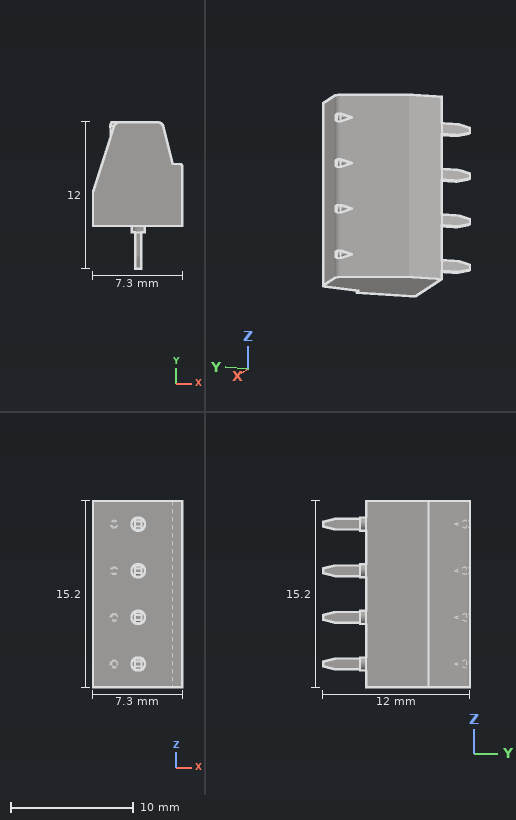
import cadquery as cq
import math

width = 7.3
depth = 8.5
pole_count = 4
pitch = 3.81
height = pole_count * pitch

front_wall_depth = 2.8
slope_top_x = 1.83
back_edge_x = 5.67
step_depth = 5.1
step_width = 0.78
back_radius = 0.5
step_radius = 0.2

pin_x = 3.7
pin_length = 3.5
pin_thickness = 0.5
pin_width = 0.9
tip_width = 0.4
tip_length = 1.0
collar_diameter = 1.1
collar_length = 0.5

mark_tip_y = 7.25
mark_radius = 0.32
mark_cone_length = 0.93
mark_barrel_length = 0.15

slope_depth = depth - front_wall_depth
slope_angle = math.degrees(math.atan2(slope_top_x, slope_depth))
mark_tip_x = slope_top_x * (mark_tip_y - front_wall_depth) / slope_depth


def make_housing():
    outline = [
        (0, 0),
        (width, 0),
        (width, step_depth),
        (width - step_width, step_depth),
        (back_edge_x, depth),
        (slope_top_x, depth),
        (0, front_wall_depth),
    ]
    body = cq.Workplane("XY").polyline(outline).close().extrude(height)
    body = body.edges("|Z").edges(">Y").fillet(back_radius)
    step_corner = cq.selectors.NearestToPointSelector((width, step_depth, height / 2))
    return body.edges("|Z").edges(step_corner).fillet(step_radius)


def make_pin(z):
    """Flat pin with a tapered tip and a round collar at its root."""
    half_width = pin_width / 2
    half_tip = tip_width / 2
    taper_start = tip_length - pin_length
    blade_outline = [
        (0, z - half_width),
        (taper_start, z - half_width),
        (-pin_length, z - half_tip),
        (-pin_length, z + half_tip),
        (taper_start, z + half_width),
        (0, z + half_width),
    ]
    blade = (
        cq.Workplane("YZ", origin=(pin_x, 0, 0))
        .polyline(blade_outline)
        .close()
        .extrude(pin_thickness / 2, both=True)
    )
    collar = (
        cq.Workplane("XZ", origin=(pin_x, 0, z))
        .circle(collar_diameter / 2)
        .extrude(collar_length)
    )
    return blade.union(collar)


def make_mark(z):
    """Cone, short barrel and round end about an axis lying in the -X slope."""
    barrel_end = mark_cone_length + mark_barrel_length
    arc_offset = mark_radius * math.sqrt(0.5)
    teardrop = (
        cq.Workplane("XY")
        .lineTo(mark_radius, mark_cone_length)
        .lineTo(mark_radius, barrel_end)
        .threePointArc((arc_offset, barrel_end + arc_offset), (0, barrel_end + mark_radius))
        .close()
        .revolve(360, (0, 0, 0), (0, 1, 0))
        .rotate((0, 0, 0), (0, 0, 1), -slope_angle)
        .translate((mark_tip_x, mark_tip_y, z))
    )
    space_in_front_of_back = cq.Workplane("XY").box(width, depth, height, centered=False)
    return teardrop.intersect(space_in_front_of_back)


result = make_housing()
for pole in range(pole_count):
    pole_z = (pole + 0.5) * pitch
    result = result.union(make_pin(pole_z)).union(make_mark(pole_z))